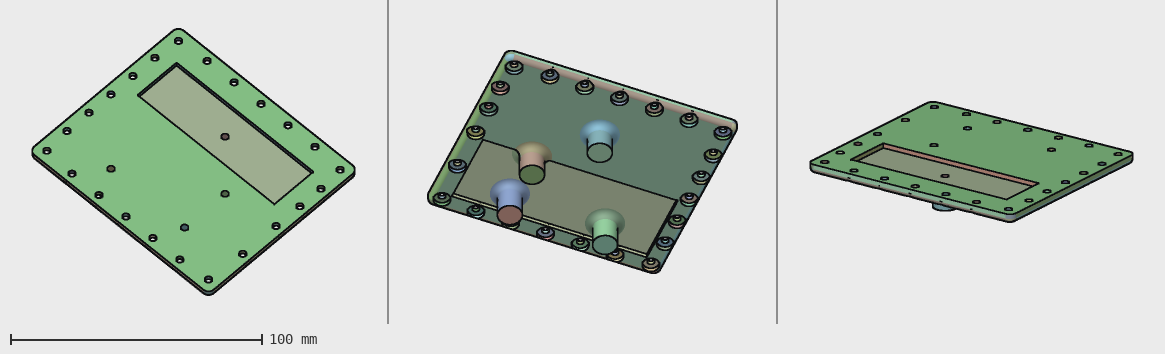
import cadquery as cq
import math

plate_length = 100
plate_width = 85
plate_thickness = 4
corner_radius = 3
bottom_edge_radius = 2

pocket_length = 76.2
pocket_width = 22.2
pocket_depth = 2
pocket_center_y = 18.2

recess_depth = 2
rim_width = 8
recess_rear_y = -2.2

total_height = 15
boss_diameter = 10
boss_spread_x = 20.5
rear_boss_y = 18
middle_boss_y = -3
front_boss_y = -26
boss_fillet = 3
boss_hole_depth = 13
selection_margin = 0.1

hole_diameter = 3
counterbore_diameter = 7
counterbore_depth = 2
row_pitch = 15
row_edge_distance = 4
corner_hole_inset = 5
left_column_pitch = 12.5
right_column_ys = (25.5, 13.5, 0, -19)

underside_z = -plate_thickness
recess_floor_z = underside_z + recess_depth
boss_radius = boss_diameter / 2
bosses = [
    (0, rear_boss_y),
    (boss_spread_x, middle_boss_y),
    (boss_spread_x, front_boss_y),
    (-boss_spread_x, front_boss_y),
]


def make_plate():
    plate = cq.Workplane("XY").rect(plate_length, plate_width).extrude(-plate_thickness)
    plate = plate.edges("|Z").fillet(corner_radius)
    return plate.faces("<Z").edges().fillet(bottom_edge_radius)


def make_pocket():
    return (
        cq.Workplane("XY")
        .center(0, pocket_center_y)
        .rect(pocket_length, pocket_width)
        .extrude(-pocket_depth)
    )


def make_recess():
    recess_length = plate_length - 2 * rim_width
    recess_front_y = rim_width - plate_width / 2
    recess_span_y = recess_rear_y - recess_front_y
    return (
        cq.Workplane("XY", origin=(0, recess_front_y + recess_span_y / 2, underside_z))
        .rect(recess_length, recess_span_y)
        .extrude(recess_depth)
    )


def make_bosses():
    return (
        cq.Workplane("XY", origin=(0, 0, recess_floor_z))
        .pushPoints(bosses)
        .circle(boss_radius)
        .extrude(-total_height - recess_floor_z)
    )


def fillet_boss_roots(body, level):
    """Fillet the arcs where the bosses meet the underside surface at the given Z."""
    reach = boss_radius + selection_margin
    edges = []
    for x, y in bosses:
        zone = cq.selectors.BoxSelector(
            (x - reach, y - reach, level - selection_margin),
            (x + reach, y + reach, level + selection_margin),
            boundingbox=True,
        )
        edges += body.edges(zone).vals()
    return body.newObject(edges).fillet(boss_fillet)


def make_corner_blends():
    """Upright concave blends between the recess wall and both sides of the middle boss."""
    blend_distance = boss_radius + boss_fillet
    axis_y = recess_rear_y - boss_fillet - middle_boss_y
    axis_x = math.sqrt(blend_distance**2 - axis_y**2)
    tangent_x = axis_x * boss_radius / blend_distance
    tangent_y = axis_y * boss_radius / blend_distance
    wall_y = axis_y + boss_fillet
    arc_start_angle = math.atan2(tangent_y - axis_y, tangent_x - axis_x)
    arc_mid_angle = (arc_start_angle + math.pi / 2) / 2
    arc_mid_x = axis_x + boss_fillet * math.cos(arc_mid_angle)
    arc_mid_y = axis_y + boss_fillet * math.sin(arc_mid_angle)

    foot_z = underside_z - boss_fillet
    footprint = (
        cq.Workplane("XY", origin=(0, 0, recess_floor_z))
        .moveTo(0, tangent_y)
        .lineTo(tangent_x, tangent_y)
        .threePointArc((arc_mid_x, arc_mid_y), (axis_x, wall_y))
        .lineTo(0, wall_y)
        .close()
        .extrude(foot_z - recess_floor_z)
    )
    flare_arc = boss_fillet * (1 - math.sqrt(0.5))
    flare = (
        cq.Workplane("XZ")
        .moveTo(0, recess_floor_z)
        .lineTo(blend_distance, recess_floor_z)
        .lineTo(blend_distance, underside_z)
        .threePointArc(
            (boss_radius + flare_arc, underside_z - flare_arc),
            (boss_radius, foot_z),
        )
        .lineTo(0, foot_z)
        .close()
        .revolve(360, (0, 0, 0), (0, 1, 0))
    )
    blend = footprint.intersect(flare)
    blends = blend.union(blend.mirror("YZ"))
    return blends.translate((boss_spread_x, middle_boss_y, 0))


def rim_hole_points():
    row_y = plate_width / 2 - row_edge_distance
    column_x = plate_length / 2 - row_edge_distance
    corner_x = plate_length / 2 - corner_hole_inset
    corner_y = plate_width / 2 - corner_hole_inset
    points = []
    for side in (-1, 1):
        points += [(step * row_pitch, side * row_y) for step in range(-2, 3)]
        points += [(corner_x, side * corner_y), (-corner_x, side * corner_y)]
    points += [(-column_x, step * left_column_pitch) for step in range(-2, 3)]
    points += [(column_x, y) for y in right_column_ys]
    return points


def make_cylinders(points, diameter, start_z, depth):
    return (
        cq.Workplane("XY", origin=(0, 0, start_z))
        .pushPoints(points)
        .circle(diameter / 2)
        .extrude(-depth)
    )


body = make_plate().cut(make_recess()).union(make_bosses())
body = fillet_boss_roots(body, underside_z)
body = fillet_boss_roots(body, recess_floor_z)
body = body.union(make_corner_blends())
body = body.cut(make_pocket())

rim_holes = rim_hole_points()
counterbore_floor_z = underside_z + counterbore_depth
body = body.cut(make_cylinders(bosses, hole_diameter, 0, boss_hole_depth))
body = body.cut(make_cylinders(rim_holes, hole_diameter, 0, plate_thickness))
body = body.cut(
    make_cylinders(rim_holes, counterbore_diameter, counterbore_floor_z, counterbore_depth)
)
result = cq.Workplane(body.solids().val())